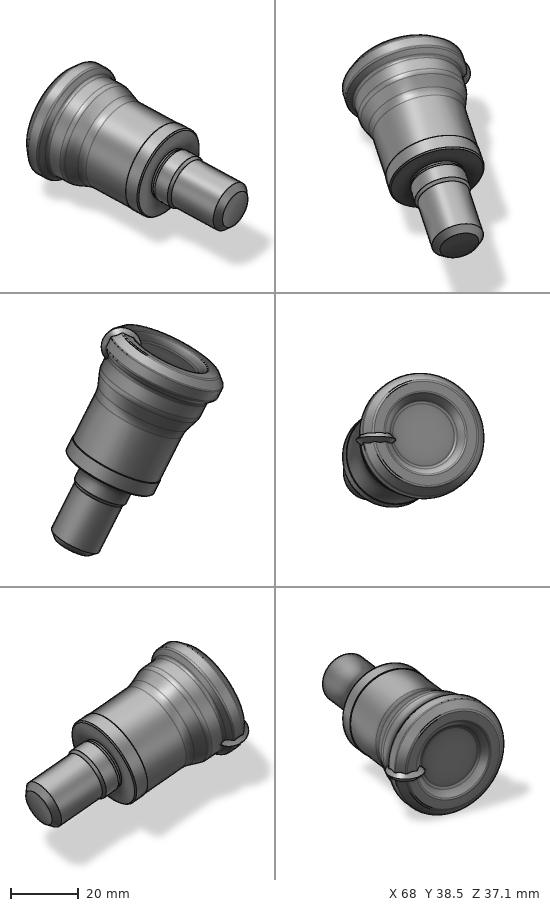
import cadquery as cq
import math

face_x = 1.5
waist_arc_start_x, waist_cone_start_x = 14.6, 16.25
waist_cone_end_x = 20.1
collar_start_x, collar_end_x = 38.1, 42.8
neck_end_x, pilot_start_x = 43.45, 44.3
pilot_end_x, shank_start_x = 49.0, 50.05
overall_length = 68.0
rim_end_x = 7.4

rim_radius = 37.1 / 2
head_radius = 33.0 / 2
body_radius = 28.6 / 2
collar_radius = 29.0 / 2
neck_radius = 8.2
pilot_radius = 17 / 2
shank_radius = 15.8 / 2
face_edge_radius = 15.65

bevel_angle = 45
waist_angle = 20
face_round = 0.9
rim_front_round = 0.55
rim_back_round = 0.95
head_round = 1.55
collar_front_chamfer = 0.17
collar_back_chamfer = 0.4
shank_chamfer = 2.0

pocket_mouth_radius = 12.7
pocket_floor_radius = 9.4
pocket_mouth_round = 0.75
pocket_floor_round = 1.2

disc_radius = 5.9
disc_edge_z = -1.9
overall_width = 38.5
disc_side_reach = overall_width - rim_radius



def add_arc(outline, center, radius, start_angle, end_angle):
    """Draw a line to the start of an arc, then the arc itself; angles are in degrees from +X."""
    def point_at(angle):
        turn = math.radians(angle)
        return (center[0] + radius * math.cos(turn), center[1] + radius * math.sin(turn))

    middle_angle = (start_angle + end_angle) / 2
    outline = outline.lineTo(*point_at(start_angle))
    return outline.threePointArc(point_at(middle_angle), point_at(end_angle))


def turned_body():
    """Solid of revolution about X; profile points are (x, radius)."""
    rim_back_center = (rim_end_x, rim_radius - rim_back_round)
    head_round_center_y = head_radius + head_round
    bevel_span = (rim_back_round + head_round) / math.sin(math.radians(bevel_angle))
    head_round_center_x = rim_end_x + bevel_span + rim_back_center[1] - head_round_center_y

    face_center = (face_x + face_round, face_edge_radius)
    rim_front_center_y = rim_radius - rim_front_round
    round_step = (face_round - rim_front_round) / math.sin(math.radians(bevel_angle))
    rim_front_center_x = face_center[0] + rim_front_center_y - face_edge_radius - round_step

    waist = math.radians(waist_angle)
    waist_round = (waist_cone_start_x - waist_arc_start_x) / math.sin(waist)
    waist_cone_drop = (waist_cone_end_x - waist_cone_start_x) * math.tan(waist)
    waist_arc_drop = waist_round * (1 - math.cos(waist))
    fillet_drop = head_radius - body_radius - waist_arc_drop - waist_cone_drop
    waist_fillet = fillet_drop / (1 - math.cos(waist))
    waist_end_x = waist_cone_end_x + waist_fillet * math.sin(waist)

    outline = cq.Workplane("XY").moveTo(face_x, 0)
    outline = add_arc(outline, face_center, face_round, 180, 180 - bevel_angle)
    rim_front_center = (rim_front_center_x, rim_front_center_y)
    outline = add_arc(outline, rim_front_center, rim_front_round, 180 - bevel_angle, 90)
    outline = add_arc(outline, rim_back_center, rim_back_round, 90, bevel_angle)
    head_center = (head_round_center_x, head_round_center_y)
    outline = add_arc(outline, head_center, head_round, 180 + bevel_angle, 270)
    waist_center = (waist_arc_start_x, head_radius - waist_round)
    outline = add_arc(outline, waist_center, waist_round, 90, 90 - waist_angle)
    fillet_center = (waist_end_x, body_radius + waist_fillet)
    outline = add_arc(outline, fillet_center, waist_fillet, 270 - waist_angle, 270)
    outline = (
        outline
        .lineTo(collar_start_x - collar_front_chamfer, body_radius)
        .lineTo(collar_start_x, collar_radius)
        .lineTo(collar_end_x - collar_back_chamfer, collar_radius)
        .lineTo(collar_end_x, collar_radius - collar_back_chamfer)
        .lineTo(collar_end_x, neck_radius)
        .lineTo(neck_end_x, neck_radius)
        .lineTo(pilot_start_x, pilot_radius)
        .lineTo(pilot_end_x, pilot_radius)
        .lineTo(shank_start_x, shank_radius)
        .lineTo(overall_length - shank_chamfer, shank_radius)
        .lineTo(overall_length, shank_radius - shank_chamfer)
        .lineTo(overall_length, 0)
        .close()
    )
    return outline.revolve(360, (0, 0), (1, 0))


def front_pocket():
    """Bevelled dish with a rounded mouth and a filleted floor."""
    bevel = math.radians(bevel_angle)
    mouth_center = (face_x + pocket_mouth_round, pocket_mouth_radius)
    floor_step = pocket_mouth_radius - pocket_floor_radius
    round_sum = (pocket_mouth_round + pocket_floor_round) / math.sin(bevel)
    floor_center_x = mouth_center[0] + floor_step - round_sum
    floor_center = (floor_center_x, pocket_floor_radius)

    outline = cq.Workplane("XY").moveTo(face_x, 0)
    outline = add_arc(outline, mouth_center, pocket_mouth_round, 180, 180 + bevel_angle)
    outline = add_arc(outline, floor_center, pocket_floor_round, bevel_angle, 0)
    outline = outline.lineTo(floor_center_x + pocket_floor_round, 0).close()
    return outline.revolve(360, (0, 0), (1, 0))


def cutting_disc():
    """Two 45 degree cones joined base to base, with their axis along Z."""
    outline = (
        cq.Workplane("XZ")
        .moveTo(0, -disc_radius)
        .lineTo(disc_radius, 0)
        .lineTo(0, disc_radius)
        .close()
    )
    disc = outline.revolve(360, (0, 0), (0, 1))
    return disc.translate((disc_radius, disc_side_reach - disc_radius, disc_edge_z))


result = turned_body().cut(front_pocket()).union(cutting_disc())